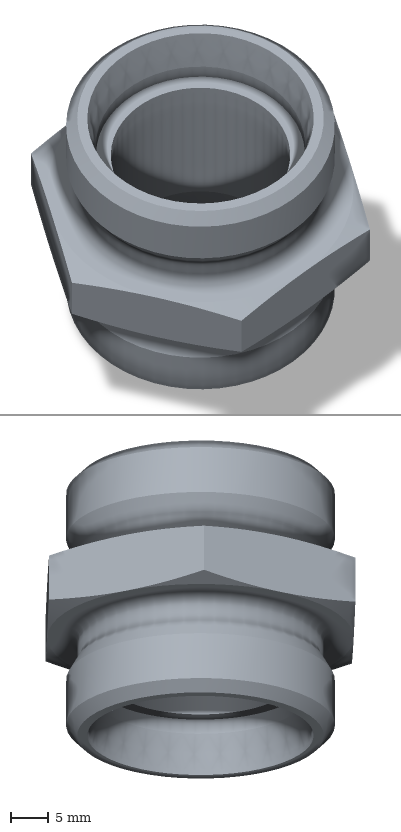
import cadquery as cq
import math

total_height = 36.0
across_corners = 47.35
across_flats = across_corners * math.cos(math.radians(30))
hex_height = 8.0
hex_chamfer_angle = 15.0

outer_diameter = 36.0
neck_diameter = 33.0
end_chamfer = (outer_diameter - neck_diameter) / 2
shoulder_depth = 7.9
shoulder_angle = 30.0
shoulder_fillet = 1.05
collar_fillet = 1.2

bore_diameter = 24.0
socket_diameter = 28.0
socket_depth = 7.5
mouth_diameter = 30.3
mouth_angle = 12.0

half_height = total_height / 2
half_hex = hex_height / 2
outer_radius = outer_diameter / 2
neck_radius = neck_diameter / 2


def slope_length(radial_change, half_angle):
    """Axial length over which a cone changes its radius by radial_change."""
    return radial_change / math.tan(math.radians(half_angle))


def make_collar():
    """Hexagon with corners on the Y axis, chamfered conically on both faces."""
    prism = (
        cq.Workplane("XY")
        .polygon(6, across_corners)
        .extrude(hex_height)
        .rotate((0, 0, 0), (0, 0, 1), 30)
        .translate((0, 0, -half_hex))
    )
    face_radius = across_flats / 2
    corner_radius = across_corners / 2
    chamfer_drop = (corner_radius - face_radius) * math.tan(math.radians(hex_chamfer_angle))
    envelope = (
        cq.Workplane("XZ")
        .moveTo(0, -half_hex)
        .lineTo(face_radius, -half_hex)
        .lineTo(corner_radius, -half_hex + chamfer_drop)
        .lineTo(corner_radius, half_hex - chamfer_drop)
        .lineTo(face_radius, half_hex)
        .lineTo(0, half_hex)
        .close()
        .revolve(360, (0, 0, 0), (0, 1, 0))
    )
    return prism.intersect(envelope)


def make_upper_end():
    """Chamfered end that tapers to a neck and flares into the collar."""
    taper_top = half_height - shoulder_depth
    taper_bottom = taper_top - slope_length(outer_radius - neck_radius, shoulder_angle)

    tangent_length = shoulder_fillet * math.tan(math.radians(shoulder_angle / 2))
    arc_start = (neck_radius, taper_bottom - tangent_length)
    arc_end = (
        neck_radius + tangent_length * math.sin(math.radians(shoulder_angle)),
        taper_bottom + tangent_length * math.cos(math.radians(shoulder_angle)),
    )
    return (
        cq.Workplane("XZ")
        .moveTo(0, half_hex)
        .lineTo(neck_radius + collar_fillet, half_hex)
        .radiusArc((neck_radius, half_hex + collar_fillet), collar_fillet)
        .lineTo(*arc_start)
        .radiusArc(arc_end, shoulder_fillet)
        .lineTo(outer_radius, taper_top)
        .lineTo(outer_radius, half_height - end_chamfer)
        .lineTo(outer_radius - end_chamfer, half_height)
        .lineTo(0, half_height)
        .close()
        .revolve(360, (0, 0, 0), (0, 1, 0))
    )


def make_upper_socket():
    """Tube socket in the upper end, opening into a conical mouth."""
    socket_radius = socket_diameter / 2
    mouth_radius = mouth_diameter / 2
    socket_floor = half_height - socket_depth
    cone_bottom = half_height - slope_length(mouth_radius - socket_radius, mouth_angle)
    return (
        cq.Workplane("XZ")
        .moveTo(0, socket_floor)
        .lineTo(socket_radius, socket_floor)
        .lineTo(socket_radius, cone_bottom)
        .lineTo(mouth_radius, half_height)
        .lineTo(0, half_height)
        .close()
        .revolve(360, (0, 0, 0), (0, 1, 0))
    )


upper_end = make_upper_end()
upper_socket = make_upper_socket()
through_bore = cq.Workplane("XY").cylinder(total_height, bore_diameter / 2)

result = (
    make_collar()
    .union(upper_end)
    .union(upper_end.mirror("XY"))
    .cut(through_bore)
    .cut(upper_socket)
    .cut(upper_socket.mirror("XY"))
)